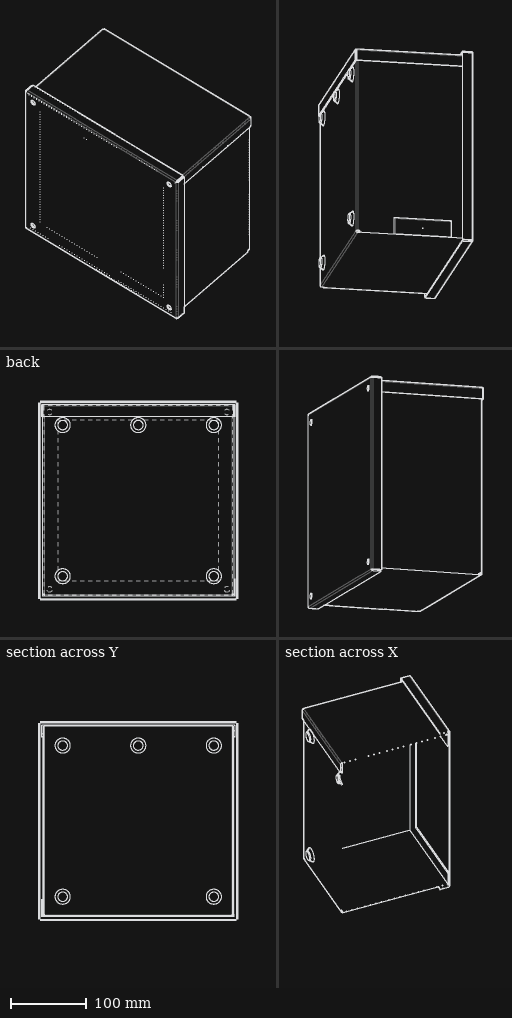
import cadquery as cq

SHEET = 1.75
INNER_BEND_RADIUS = 0.79 / 2
BEND_RADIUS = INNER_BEND_RADIUS + SHEET

COVER_SIZE = 263.4
COVER_DEPTH = 14.2
COVER_HOLE_DIAMETER = 7.37
COVER_HOLE_OFFSET = 117.3

BOX_WIDTH = 252.9
BOX_HALF = BOX_WIDTH / 2
BOX_BOTTOM = -126.4
BOX_TOP = 125.65
BOX_FRONT = SHEET
BOX_BACK = 156.7
RELIEF_DIAMETER = 5.79
LIP_WIDTH = 20.0

OVERALL_DEPTH = 161.85
BOSS_TIP_DIAMETER = 12.5
BOSS_BASE_DIAMETER = 20.0
BOSS_HEIGHT = OVERALL_DEPTH - BOX_BACK
BOSS_OFFSET = 100.0
BOSS_CENTERS = [(x, z) for x in (-BOSS_OFFSET, BOSS_OFFSET) for z in (-BOSS_OFFSET, BOSS_OFFSET)]
BOSS_CENTERS.append((0, BOSS_OFFSET))

CAP_HALF = BOX_HALF + SHEET
CAP_BACK = BOX_BACK + SHEET
CAP_TOP = BOX_TOP + SHEET
CAP_SKIRT = 16.0

PLATE_LENGTH = 77.6
PLATE_HEIGHT = 23.0
PLATE_THICKNESS = SHEET
PLATE_CENTER_Y = 67.2
PLATE_EDGE_RADIUS = 1.74
PLATE_HOLE_DIAMETER = 0.79
PLATE_HOLE_HEIGHT = 10.0


def block(x_min, x_max, y_min, y_max, z_min, z_max):
    """Axis-aligned block between the given limits."""
    size = (x_max - x_min, y_max - y_min, z_max - z_min)
    return cq.Workplane("XY").box(*size, centered=False).translate((x_min, y_min, z_min))


def bent_flange(depth, length):
    """Bend and flange running along X, centred on X = 0.

    The flange's outer face is Y = 0 and it hangs down to Z = -depth.
    The bend joins it to a sheet whose top face is Z = 0, at Y = BEND_RADIUS.
    """
    return (
        cq.Workplane("YZ")
        .moveTo(BEND_RADIUS, 0)
        .radiusArc((0, -BEND_RADIUS), -BEND_RADIUS)
        .lineTo(0, -depth)
        .lineTo(SHEET, -depth)
        .lineTo(SHEET, -BEND_RADIUS)
        .radiusArc((BEND_RADIUS, -SHEET), INNER_BEND_RADIUS)
        .close()
        .extrude(length / 2, both=True)
    )


def make_cover():
    half = COVER_SIZE / 2
    flat = half - BEND_RADIUS
    cover = block(-flat, flat, 0, SHEET, -flat, flat)
    flange = bent_flange(COVER_DEPTH, 2 * flat).rotate((0, 0, 0), (1, 0, 0), 90)
    flange = flange.translate((0, 0, -half))
    for turn in range(4):
        cover = cover.union(flange.rotate((0, 0, 0), (0, 1, 0), 90 * turn))
    holes = (
        cq.Workplane("XZ")
        .rect(2 * COVER_HOLE_OFFSET, 2 * COVER_HOLE_OFFSET, forConstruction=True)
        .vertices()
        .circle(COVER_HOLE_DIAMETER / 2)
        .extrude(-SHEET)
    )
    return cover.cut(holes)


def boss_cone():
    """Tapered boss growing along +Y from the origin."""
    return (
        cq.Workplane("XY")
        .lineTo(BOSS_BASE_DIAMETER / 2, 0)
        .lineTo(BOSS_TIP_DIAMETER / 2, BOSS_HEIGHT)
        .lineTo(0, BOSS_HEIGHT)
        .close()
        .revolve(360, (0, 0, 0), (0, 1, 0))
    )


def corner_relief(side):
    """Half-round relief cut into the bottom edge of a side wall, at its back bend."""
    center = (side * BOX_HALF, BOX_BACK - BEND_RADIUS, BOX_BOTTOM)
    return (
        cq.Workplane("YZ", origin=center)
        .circle(RELIEF_DIAMETER / 2)
        .extrude(-side * BEND_RADIUS)
    )


def make_box():
    inside = BOX_HALF - SHEET
    opening = BOX_HALF - LIP_WIDTH
    box = block(-BOX_HALF, BOX_HALF, BOX_FRONT, BOX_BACK, BOX_BOTTOM, BOX_TOP)
    box = box.edges("(|Z and >Y) or (|X and >Y and <Z)").fillet(BEND_RADIUS)
    box = box.faces(">Z").edges("not <Y").fillet(INNER_BEND_RADIUS)
    cavity = block(-inside, inside, BOX_FRONT + SHEET, BOX_BACK - SHEET, BOX_BOTTOM + SHEET, BOX_TOP)
    cavity = cavity.edges("(|Z and >Y) or (|X and >Y and <Z)").fillet(INNER_BEND_RADIUS)
    box = box.cut(cavity)
    box = box.cut(block(-opening, opening, BOX_FRONT, BOX_FRONT + SHEET, -opening, opening))
    for side in (-1, 1):
        box = box.cut(corner_relief(side))
    boss = boss_cone()
    for x, z in BOSS_CENTERS:
        box = box.union(boss.translate((x, BOX_BACK, z)))
        box = box.cut(boss.translate((x, BOX_BACK - SHEET, z)))
    return box


def make_cap():
    flat = CAP_HALF - BEND_RADIUS
    flat_back = CAP_BACK - BEND_RADIUS
    cap = block(-flat, flat, BOX_FRONT, flat_back, BOX_TOP, CAP_TOP)
    back = bent_flange(CAP_SKIRT, 2 * flat).rotate((0, 0, 0), (0, 0, 1), 180)
    cap = cap.union(back.translate((0, CAP_BACK, CAP_TOP)))
    side_center = (BOX_FRONT + flat_back) / 2
    for side in (-1, 1):
        skirt = bent_flange(CAP_SKIRT, flat_back - BOX_FRONT).rotate((0, 0, 0), (0, 0, 1), 90 * side)
        cap = cap.union(skirt.translate((side * CAP_HALF, side_center, CAP_TOP)))
    return cap


def make_plate():
    front = PLATE_CENTER_Y - PLATE_LENGTH / 2
    plate = block(
        -BOX_HALF - PLATE_THICKNESS, -BOX_HALF,
        front, front + PLATE_LENGTH,
        BOX_BOTTOM, BOX_BOTTOM + PLATE_HEIGHT,
    )
    plate = plate.faces("<X").edges("not <Z").fillet(PLATE_EDGE_RADIUS)
    hole = (
        cq.Workplane("YZ", origin=(-BOX_HALF, PLATE_CENTER_Y, BOX_BOTTOM + PLATE_HOLE_HEIGHT))
        .circle(PLATE_HOLE_DIAMETER / 2)
        .extrude(-PLATE_THICKNESS)
    )
    return plate.cut(hole)


cover = make_cover()
box = make_box()
cap = make_cap()
side_plate = make_plate()

bodies = [cover, box, cap, side_plate]
result = cq.Compound.makeCompound([body.solids().val() for body in bodies])